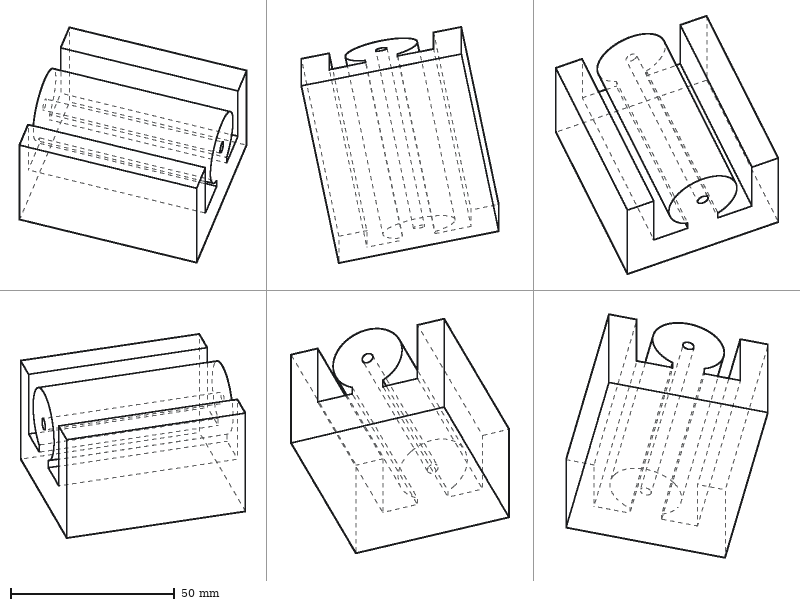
import cadquery as cq
import math

length = 57.0
width = 50.0
wall_height = 34.9
wall_thickness = 8.7
floor_thickness = 13.75

overall_height = 37.7
bar_diameter = 22.6
bore_diameter = 3.5
web_width = 10.0

half_width = width / 2
half_channel = half_width - wall_thickness
half_web = web_width / 2
bar_radius = bar_diameter / 2
bar_axis_height = overall_height - bar_radius

web_top = bar_axis_height - math.sqrt(bar_radius**2 - half_web**2)


def make_body():
    """Block, web and bar as one constant section extruded along X."""
    return (
        cq.Workplane("YZ", origin=(-length / 2, 0, 0))
        .moveTo(-half_width, 0)
        .lineTo(half_width, 0)
        .lineTo(half_width, wall_height)
        .lineTo(half_channel, wall_height)
        .lineTo(half_channel, floor_thickness)
        .lineTo(half_web, floor_thickness)
        .lineTo(half_web, web_top)
        .threePointArc((0, overall_height), (-half_web, web_top))
        .lineTo(-half_web, floor_thickness)
        .lineTo(-half_channel, floor_thickness)
        .lineTo(-half_channel, wall_height)
        .lineTo(-half_width, wall_height)
        .close()
        .extrude(length)
    )


def make_bore():
    """Cylinder to remove along the full length of the bar axis."""
    return (
        cq.Workplane("YZ", origin=(-length / 2, 0, bar_axis_height))
        .circle(bore_diameter / 2)
        .extrude(length)
    )


result = make_body().cut(make_bore())